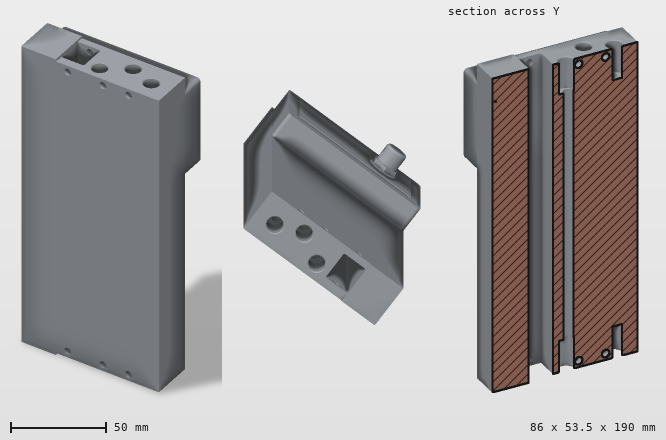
import cadquery as cq

HEIGHT = 190.0
WIDTH = 86.0
BODY_DEPTH = 24.9
FRONT_EDGE_FILLET = 0.5
STRIP_WIDTH = 21.7
END_STEP = 1.3

CHANNEL_WIDTH = 14.2
CHANNEL_FRONT = 5.0
CHANNEL_BACK = 21.0
CHANNEL_FILLET = 0.8

PORT_RADIUS = 4.4
PORT_CHAMFER = 0.5
PORT_DEPTH = 19.0
PORTS = [
    (43.9, 8.0, 1.1, 0.0, 2.8),
    (58.9, 17.0, 0.2, 0.0, 3.0),
    (74.0, 11.4, -1.0, 0.5, 2.8),
]

MOUNT_HOLE_RADIUS = 2.0
MOUNT_HOLE_INSET = 5.3
MOUNT_HOLE_X = [29.0, 51.1, 67.0]

COVER_SIDE_INSET = 0.1
COVER_BOTTOM = 125.4
COVER_TOP = 179.4
COVER_DEPTH = 14.8
COVER_FILLET = 2.0
COVER_BACK = BODY_DEPTH + COVER_DEPTH

LABEL_LEFT = 6.6
LABEL_RIGHT = 79.2
LABEL_BOTTOM = 134.9
LABEL_TOP = 170.2
LABEL_THICKNESS = 0.5

CONNECTOR_X = 25.5
CONNECTOR_Z = 149.2
OVERALL_DEPTH = 53.5
WASHER_RADIUS = 8.4
WASHER_THICKNESS = 1.1
WASHER_CHAMFER = 0.5
NUT_CORNER_DIAMETER = 15.4
NUT_THICKNESS = 2.5
BARREL_RADIUS = 6.0
BARREL_TIP_CHAMFER_LENGTH = 1.1
BARREL_TIP_CHAMFER_STEP = 0.5


def box(left, right, front, back, bottom, top):
    """Box given by its limits along X, Y and Z."""
    size = (right - left, back - front, top - bottom)
    return cq.Workplane("XY").box(*size, centered=False).translate((left, front, bottom))


def upright_cylinder(x, y, radius, bottom, top):
    """Cylinder along Z between two heights."""
    return cq.Workplane("XY", origin=(x, y, bottom)).circle(radius).extrude(top - bottom)


def connector_plane(y):
    """Sketch plane across the connector axis at depth y, extruding toward +Y."""
    return cq.Workplane("XZ", origin=(CONNECTOR_X, y, CONNECTOR_Z))


def make_body():
    """Strip and stepped-back main block with the two outer front edges rounded."""
    strip = box(0, STRIP_WIDTH, 0, BODY_DEPTH, 0, HEIGHT)
    strip = strip.faces("<Y").edges("<X").fillet(FRONT_EDGE_FILLET)
    main = box(STRIP_WIDTH, WIDTH, 0, BODY_DEPTH, END_STEP, HEIGHT - END_STEP)
    main = main.faces("<Y").edges(">X").fillet(FRONT_EDGE_FILLET)
    return strip.union(main)


def make_channel():
    channel = box(STRIP_WIDTH, STRIP_WIDTH + CHANNEL_WIDTH, CHANNEL_FRONT, CHANNEL_BACK, 0, HEIGHT)
    return channel.edges("|Z").fillet(CHANNEL_FILLET)


def make_port(x, y, offset_x, offset_y, passage_radius):
    """Passage with a chamfered port at each end."""
    low = END_STEP
    high = HEIGHT - END_STEP
    passage = upright_cylinder(x + offset_x, y + offset_y, passage_radius, low, high)
    port_profile = [
        (0, low),
        (PORT_RADIUS + PORT_CHAMFER, low),
        (PORT_RADIUS, low + PORT_CHAMFER),
        (PORT_RADIUS, low + PORT_DEPTH),
        (0, low + PORT_DEPTH),
    ]
    lower = cq.Workplane("XZ").polyline(port_profile).close().revolve(360, (0, 0), (0, 1))
    upper = lower.mirror("XY", (0, 0, HEIGHT / 2))
    return passage.union(lower.translate((x, y, 0))).union(upper.translate((x, y, 0)))


def make_mount_holes():
    centres = [(x, z) for x in MOUNT_HOLE_X for z in (MOUNT_HOLE_INSET, HEIGHT - MOUNT_HOLE_INSET)]
    return cq.Workplane("XZ").pushPoints(centres).circle(MOUNT_HOLE_RADIUS).extrude(-BODY_DEPTH)


def make_cover():
    left = COVER_SIDE_INSET
    right = WIDTH - COVER_SIDE_INSET
    cover = box(left, right, BODY_DEPTH, COVER_BACK, COVER_BOTTOM, COVER_TOP)
    return cover.edges("|Y").fillet(COVER_FILLET)


def make_label():
    label_back = COVER_BACK + LABEL_THICKNESS
    return box(LABEL_LEFT, LABEL_RIGHT, COVER_BACK, label_back, LABEL_BOTTOM, LABEL_TOP)


def make_connector():
    """Washer, hexagonal nut with corners up and down, and barrel with a tapered tip."""
    washer_front = COVER_BACK + LABEL_THICKNESS
    nut_front = washer_front + WASHER_THICKNESS
    barrel_front = nut_front + NUT_THICKNESS
    barrel_length = OVERALL_DEPTH - barrel_front
    washer = (
        connector_plane(washer_front)
        .circle(WASHER_RADIUS)
        .extrude(-WASHER_THICKNESS)
        .faces(">Y")
        .chamfer(WASHER_CHAMFER)
    )
    nut = (
        connector_plane(nut_front)
        .transformed(rotate=(0, 0, 90))
        .polygon(6, NUT_CORNER_DIAMETER)
        .extrude(-NUT_THICKNESS)
    )
    barrel = (
        connector_plane(barrel_front)
        .circle(BARREL_RADIUS)
        .extrude(-barrel_length)
        .faces(">Y")
        .chamfer(BARREL_TIP_CHAMFER_LENGTH, BARREL_TIP_CHAMFER_STEP)
    )
    return washer.union(nut).union(barrel)


body = make_body().cut(make_channel()).cut(make_mount_holes())
for port in PORTS:
    body = body.cut(make_port(*port))

result = body.union(make_cover()).union(make_label()).union(make_connector())